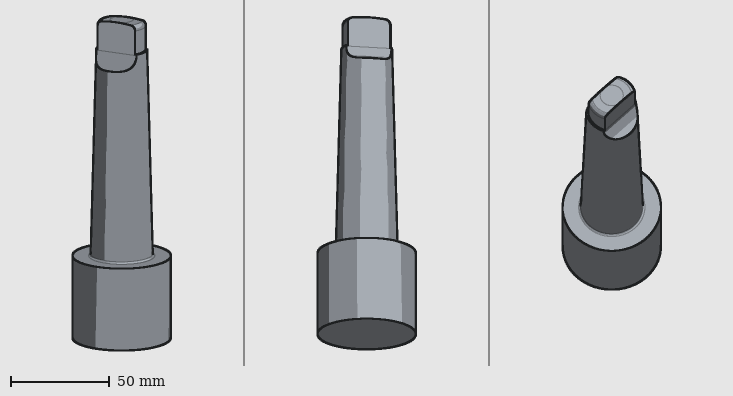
import cadquery as cq
import math

total_length = 167.0
base_diameter = 50.0
base_height = 43.1

shank_root_diameter = 31.5
root_fillet_radius = 1.0
shank_end_diameter = 25.9
shank_end_height = 151.5

tang_diameter = 24.5
tang_thickness = 11.7
flat_end_height = 151.0
flat_runout_radius = 8.0
tip_flat_diameter = 11.7
crown_diameter = 20.0
crown_drop = 0.5
tip_corner_height = 163.8


def make_body():
    """Revolve the base, shank and full round of the tang about Z."""
    base_radius = base_diameter / 2
    root_radius = shank_root_diameter / 2
    shank_end_radius = shank_end_diameter / 2
    tang_radius = tang_diameter / 2
    crown_radius = crown_diameter / 2
    crown_height = total_length - crown_drop
    root_fillet_height = base_height + root_fillet_radius
    fillet_mid = root_fillet_radius * (1 - math.sqrt(0.5))
    corner_mid_radius = crown_radius + (tang_radius - crown_radius) * math.sqrt(0.5)
    corner_mid_height = tip_corner_height + (crown_height - tip_corner_height) * math.sqrt(0.5)
    return (
        cq.Workplane("XZ")
        .lineTo(base_radius, 0)
        .lineTo(base_radius, base_height)
        .lineTo(root_radius + root_fillet_radius, base_height)
        .threePointArc(
            (root_radius + fillet_mid, base_height + fillet_mid),
            (root_radius, root_fillet_height),
        )
        .lineTo(shank_end_radius, shank_end_height)
        .lineTo(tang_radius, shank_end_height)
        .lineTo(tang_radius, tip_corner_height)
        .threePointArc((corner_mid_radius, corner_mid_height), (crown_radius, crown_height))
        .lineTo(tip_flat_diameter / 2, total_length)
        .lineTo(0, total_length)
        .close()
        .revolve(360, (0, 0, 0), (0, 1, 0))
    )


def make_flat_cutter(side):
    """Material beyond one tang flat (side is +1 or -1 in Y), running out in a concave arc."""
    flat_y = tang_thickness / 2
    arc_center_y = flat_y + flat_runout_radius
    arc_offset = flat_runout_radius * math.sqrt(0.5)
    return (
        cq.Workplane("YZ")
        .moveTo(side * flat_y, total_length)
        .lineTo(side * flat_y, flat_end_height)
        .threePointArc(
            (side * (arc_center_y - arc_offset), flat_end_height - arc_offset),
            (side * arc_center_y, flat_end_height - flat_runout_radius),
        )
        .lineTo(side * base_diameter / 2, flat_end_height - flat_runout_radius)
        .lineTo(side * base_diameter / 2, total_length)
        .close()
        .extrude(base_diameter / 2, both=True)
    )


result = make_body()
for flat_side in (-1, 1):
    result = result.cut(make_flat_cutter(flat_side))